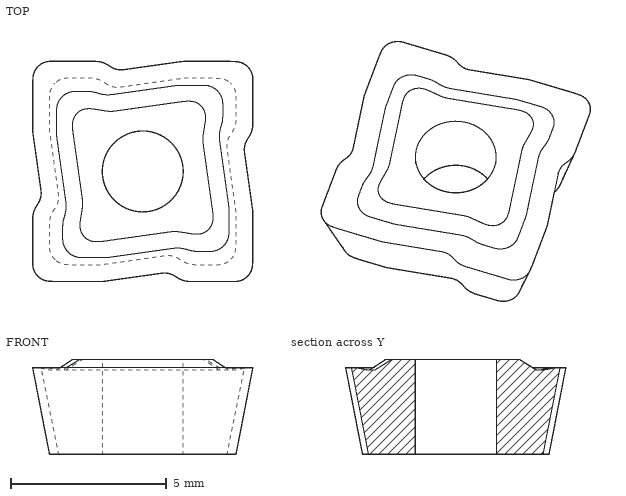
import cadquery as cq
import math


top_height = 3.06
edge_height = 2.80
groove_depth = 0.08
floor_height = edge_height - groove_depth

side_count = 4
half_width = 3.55
mid_distance = 3.367
slant_angle = math.radians(8)
ramp_angle = math.radians(33)
notch_offset = 0.84
corner_radius = 0.57
shoulder_radius = 0.8
notch_radius = 0.6
heel_radius = 0.8
wiper_length = 0.76
wiper_angle = math.radians(2.7)

relief_angle = math.radians(11)
land_width = 0.15
groove_inset = 0.575
land_corner_radius = 0.45
groove_corner_radius = 0.35

foot_mid_distance = 2.614
foot_lead_distance = 2.578
foot_trail_distance = 2.775
foot_notch_offset = 1.2
foot_ramp_angle = math.radians(17)
foot_corner_radius = 0.6

crown_mid_distance = 2.07
crown_lead_distance = 2.02
crown_trail_distance = 2.261
crown_notch_offset = 1.04
crown_ramp_angle = math.radians(9)
crown_corner_radius = 0.5

island_blend_radius = 1.0

hole_diameter = 2.6


def side_vertices(mid, lead, trail, notch, ramp, radii):
    """Sharp vertices (x, y, rounding radius) of the +Y side, from its left corner to its heel.

    From the corner the side runs level at `lead`, drops down a ramp to the notch,
    climbs along the slant to the heel and ends level at `trail`.
    """
    corner_r, shoulder_r, notch_r, heel_r = radii
    notch_y = mid - notch * math.tan(slant_angle)
    shoulder_x = -notch - (lead - notch_y) / math.tan(ramp)
    heel_x = (trail - mid) / math.tan(slant_angle)
    return [
        (-trail, lead, corner_r),
        (shoulder_x, lead, shoulder_r),
        (-notch, notch_y, notch_r),
        (heel_x, trail, heel_r),
    ]


def edge_side(inset, radii):
    """Side of the cutting edge outline, moved inward by `inset`."""
    return side_vertices(
        mid_distance - inset / math.cos(slant_angle),
        half_width - inset,
        half_width - inset,
        notch_offset + inset * math.tan((ramp_angle - slant_angle) / 2),
        ramp_angle,
        radii,
    )


def flank_side(inset):
    """Cutting edge side with the shallow wiper facet that leads into each corner."""
    radii = (corner_radius, shoulder_radius, notch_radius, heel_radius)
    beyond_corner = edge_side(inset, radii)[1:]
    reach = half_width - inset
    wiper_drop = wiper_length * math.tan(wiper_angle)
    facet_corner = (wiper_drop - reach, reach, corner_radius)
    facet_end = (reach - wiper_length, reach, 0)
    return [facet_corner, *beyond_corner, facet_end]


def groove_side(inset, corner_r):
    """Cutting edge side moved inward, its shoulder and notch staying parallel to the edge."""
    radii = (corner_r, shoulder_radius - inset, notch_radius + inset, heel_radius)
    return edge_side(inset, radii)


def rounded_outline(side, height):
    """Closed wire of the side repeated around Z, with every vertex rounded by its radius."""
    vertices = []
    for index in range(side_count):
        turn = -index * 2 * math.pi / side_count
        for x, y, radius in side:
            turned_x = x * math.cos(turn) - y * math.sin(turn)
            turned_y = x * math.sin(turn) + y * math.cos(turn)
            vertices.append((cq.Vector(turned_x, turned_y, height), radius))
    arcs = []
    for index, (point, radius) in enumerate(vertices):
        back = (vertices[index - 1][0] - point).normalized()
        ahead = (vertices[(index + 1) % len(vertices)][0] - point).normalized()
        half_angle = back.getAngle(ahead) / 2
        tangent = radius / math.tan(half_angle)
        bisector = (back + ahead).normalized()
        middle = point + bisector * (radius / math.sin(half_angle) - radius)
        arcs.append((point + back * tangent, middle, point + ahead * tangent, radius))
    edges = []
    for index, (start, middle, end, radius) in enumerate(arcs):
        edges.append(cq.Edge.makeLine(arcs[index - 1][2], start))
        if radius > 0:
            edges.append(cq.Edge.makeThreePointArc(start, middle, end))
    return cq.Wire.assembleEdges(edges)


def ruled_solid(lower_side, lower_height, upper_side, upper_height):
    """Solid with straight-ruled walls between two rounded outlines."""
    lower = rounded_outline(lower_side, lower_height)
    upper = rounded_outline(upper_side, upper_height)
    return cq.Workplane(cq.Solid.makeLoft([lower, upper], True))


def make_body():
    bottom_inset = edge_height * math.tan(relief_angle)
    return ruled_solid(flank_side(bottom_inset), 0, flank_side(0), edge_height)


def make_groove():
    floor_side = groove_side(groove_inset, groove_corner_radius)
    land_side = groove_side(land_width, land_corner_radius)
    return ruled_solid(floor_side, floor_height, land_side, edge_height)


def make_island():
    blends = (island_blend_radius, island_blend_radius, island_blend_radius)
    foot = side_vertices(
        foot_mid_distance,
        foot_lead_distance,
        foot_trail_distance,
        foot_notch_offset,
        foot_ramp_angle,
        (foot_corner_radius, *blends),
    )
    crown = side_vertices(
        crown_mid_distance,
        crown_lead_distance,
        crown_trail_distance,
        crown_notch_offset,
        crown_ramp_angle,
        (crown_corner_radius, *blends),
    )
    return ruled_solid(foot, floor_height, crown, top_height)


def make_hole():
    return cq.Workplane().circle(hole_diameter / 2).extrude(top_height)


result = make_body().cut(make_groove()).union(make_island()).cut(make_hole())